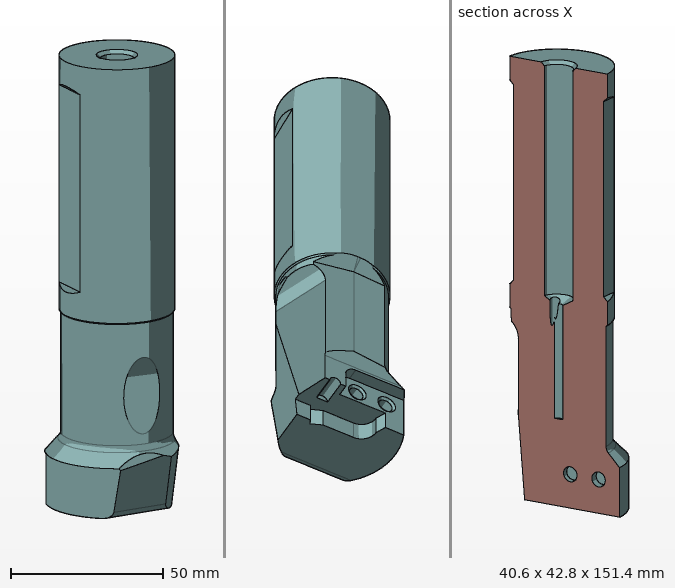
import cadquery as cq
import math

TOTAL_LENGTH = 151.4
SHANK_RADIUS = 19.05
NECK_RADIUS = 18.55
HEAD_RADIUS = 23.75
SHANK_BOTTOM_Z = 65.2
HEAD_TOP_Z = 17.1
HEAD_SHOULDER_BLEND = 3.0
TOOL_ANGLE = 4.3
OUTSIDE = 40.0

FLAT_DISTANCE = 17.57
FLAT_BOTTOM_Z = 74.7
FLAT_TOP_Z = 141.7

BORE_RADIUS = 5.6
BORE_MOUTH_RADIUS = 6.8
BORE_DEPTH = 80.0
BORE_TIP_ANGLE = 118.0
COOLANT_RADIUS = 2.0
COOLANT_BOTTOM_Z = 30.0
BRANCH_RADIUS = 1.6
BRANCH_OFFSET = (2.1, 1.9)
BRANCH_TILT = 6.0
BRANCH_LENGTH = 35.0

FACET_FRONT = (-13.3, -13.0)
FACET_RIDGE = (-14.8, -1.1)
FACET_BACK = (-13.8, 8.7)
FACET_TOP_Z = 62.6
FACET_RAMP_ANGLE = 34.0
FACET_RAMP_HEIGHT = 5.0

GULLET_ANGLE = 25.0
GULLET_TOP_Z = 62.4
GULLET_RUNOUT_RADIUS = 7.4

SIDE_RELIEF_X = 17.3
SIDE_RELIEF_RADIUS = 68.0
SIDE_RELIEF_Z = 40.0

ENVELOPE_X = 19.31
ENVELOPE_Y = 13.15
ENVELOPE_ARC_START = (12.9, ENVELOPE_Y)
ENVELOPE_ARC_MIDDLE = (16.3, 10.5)
ENVELOPE_ARC_END = (ENVELOPE_X, 6.4)
ENVELOPE_DRAFT = 4.8
ENVELOPE_TOP_Z = 63.0
HEAD_EDGE_RADIUS = 2.5

FACE_X = -13.0
FACE_BLEND_Z = 18.1
FACE_BLEND_RADIUS = 9.0
SEAT_X = -8.87
SEAT_BACK_Y = 2.0
SEAT_TOP_Z = 17.0
SEAT_CORNER_RADIUS = 3.7
SEAT_HOLE_YS = (-4.6, -15.55)
SEAT_HOLE_Z = 11.7
SEAT_HOLE_RADIUS = 2.5
SEAT_HOLE_MOUTH_RADIUS = 3.3
SEAT_HOLE_DEPTH = 12.0
SMALL_HOLE_Y = 5.9
SMALL_HOLE_RADIUS = 2.0
SMALL_HOLE_DEPTH = 9.0

RECESS_TOP_Z = 7.1
RECESS_FLOOR_X = 0.0
RECESS_FRONT_Y = -15.1
RECESS_ARC_Y = -8.0
RECESS_ARC_RADIUS = 5.5
GROOVE_START_Y = 3.4
GROOVE_DEEP_Y = 7.4
GROOVE_END_Y = 8.0
GROOVE_DEPTH = 1.6


def make_body():
    """Turned blank: head, 45 degree shoulder, neck and shank."""
    shoulder = HEAD_RADIUS - NECK_RADIUS
    neck_start_z = HEAD_TOP_Z + shoulder
    half_bend = math.radians(45 / 2)
    tangent = HEAD_SHOULDER_BLEND * math.tan(half_bend)
    diagonal = tangent * math.sqrt(0.5)
    shank_step = SHANK_RADIUS - NECK_RADIUS
    blend_middle = (
        NECK_RADIUS + HEAD_SHOULDER_BLEND * (1 - math.cos(half_bend)),
        neck_start_z + tangent - HEAD_SHOULDER_BLEND * math.sin(half_bend),
    )
    return (
        cq.Workplane("XZ")
        .moveTo(0, 0)
        .lineTo(HEAD_RADIUS, 0)
        .lineTo(HEAD_RADIUS, HEAD_TOP_Z)
        .lineTo(NECK_RADIUS + diagonal, neck_start_z - diagonal)
        .threePointArc(blend_middle, (NECK_RADIUS, neck_start_z + tangent))
        .lineTo(NECK_RADIUS, SHANK_BOTTOM_Z - shank_step)
        .lineTo(SHANK_RADIUS, SHANK_BOTTOM_Z)
        .lineTo(SHANK_RADIUS, TOTAL_LENGTH)
        .lineTo(0, TOTAL_LENGTH)
        .close()
        .revolve(360, (0, 0, 0), (0, 1, 0))
    )


def shank_flat():
    """Cutter for the -Y clamping flat, with 45 degree end ramps."""
    return (
        cq.Workplane("YZ")
        .polyline([
            (-FLAT_DISTANCE, FLAT_BOTTOM_Z),
            (-FLAT_DISTANCE, FLAT_TOP_Z),
            (-FLAT_DISTANCE - OUTSIDE, FLAT_TOP_Z + OUTSIDE),
            (-FLAT_DISTANCE - OUTSIDE, FLAT_BOTTOM_Z - OUTSIDE),
        ])
        .close()
        .extrude(OUTSIDE, both=True)
    )


def coolant_bore():
    """Bore with countersunk mouth, conical end, centre hole and slanted branch."""
    mouth = BORE_MOUTH_RADIUS - BORE_RADIUS
    bore_end_z = TOTAL_LENGTH - BORE_DEPTH
    cone_slope = math.tan(math.radians(BORE_TIP_ANGLE / 2))
    tip_z = bore_end_z - BORE_RADIUS / cone_slope
    bore = (
        cq.Workplane("XZ")
        .polyline([
            (0, tip_z),
            (BORE_RADIUS, bore_end_z),
            (BORE_RADIUS, TOTAL_LENGTH - mouth),
            (BORE_MOUTH_RADIUS, TOTAL_LENGTH),
            (0, TOTAL_LENGTH),
        ])
        .close()
        .revolve(360, (0, 0, 0), (0, 1, 0))
    )
    centre_hole = (
        cq.Workplane("XY", origin=(0, 0, COOLANT_BOTTOM_Z))
        .circle(COOLANT_RADIUS)
        .extrude(bore_end_z - COOLANT_BOTTOM_Z)
    )
    offset_x, offset_y = BRANCH_OFFSET
    offset = math.hypot(offset_x, offset_y)
    outward = math.sin(math.radians(BRANCH_TILT)) / offset
    downward = -math.cos(math.radians(BRANCH_TILT))
    direction = cq.Vector(offset_x * outward, offset_y * outward, downward)
    branch = cq.Solid.makeCylinder(
        BRANCH_RADIUS, BRANCH_LENGTH, cq.Vector(offset_x, offset_y, bore_end_z), direction
    )
    return bore.union(centre_hole).union(cq.Workplane(branch))


def extend(start, through, distance):
    """Point on the line from start past through, the given distance beyond it."""
    length = math.dist(start, through)
    return tuple(b + (b - a) / length * distance for a, b in zip(start, through))


def neck_facets():
    """Cutter for the two neck facets, above the cutting face, with a sloped runout at the top."""
    front = extend(FACET_RIDGE, FACET_FRONT, OUTSIDE)
    back = extend(FACET_RIDGE, FACET_BACK, OUTSIDE)
    outline = [front, FACET_RIDGE, back, (-2 * OUTSIDE, back[1]), (-2 * OUTSIDE, front[1])]
    facets = (
        cq.Workplane("XY", origin=(0, 0, FACE_BLEND_Z))
        .polyline(outline)
        .close()
        .extrude(FACET_TOP_Z - FACE_BLEND_Z)
    )
    ramp = (
        cq.Workplane("XY", origin=(0, 0, FACET_TOP_Z))
        .polyline(outline)
        .close()
        .extrude(FACET_RAMP_HEIGHT, taper=90 - FACET_RAMP_ANGLE)
    )
    return facets.union(ramp)


def chip_gullet():
    """Cutter for the slanted gullet wall with a rounded runout at the top."""
    return (
        cq.Workplane("XY")
        .box(2 * OUTSIDE, OUTSIDE, GULLET_TOP_Z, centered=(True, False, False))
        .faces("<Y").edges(">Z").fillet(GULLET_RUNOUT_RADIUS)
        .rotate((0, 0, 0), (0, 0, 1), GULLET_ANGLE)
        .translate((*FACET_BACK, 0))
    )


def side_relief():
    """Cutter for the shallow hollow on the +X side of the neck."""
    return (
        cq.Workplane("XZ")
        .center(SIDE_RELIEF_X + SIDE_RELIEF_RADIUS, SIDE_RELIEF_Z)
        .circle(SIDE_RELIEF_RADIUS)
        .extrude(OUTSIDE, both=True)
    )


def turned(shape):
    """Turn a shape from the tool frame into the part frame."""
    return shape.rotate((0, 0, 0), (0, 0, 1), TOOL_ANGLE)


def envelope_outline(plane, growth):
    """Envelope outline on a workplane, its +X and +Y sides moved outward by growth."""
    arc_start, arc_middle, arc_end = [
        (x + growth, y + growth)
        for x, y in (ENVELOPE_ARC_START, ENVELOPE_ARC_MIDDLE, ENVELOPE_ARC_END)
    ]
    return (
        plane.moveTo(-OUTSIDE, -OUTSIDE)
        .lineTo(-OUTSIDE, arc_start[1])
        .lineTo(*arc_start)
        .threePointArc(arc_middle, arc_end)
        .lineTo(arc_end[0], -OUTSIDE)
        .close()
    )


def head_envelope():
    """Drafted block that bounds the head and neck on the +X and +Y sides."""
    growth = ENVELOPE_TOP_Z * math.tan(math.radians(ENVELOPE_DRAFT))
    bottom = envelope_outline(cq.Workplane("XY"), 0)
    lower = (
        envelope_outline(bottom.workplane(offset=ENVELOPE_TOP_Z), growth)
        .loft(ruled=True)
        .faces("<Z").edges(">X").fillet(HEAD_EDGE_RADIUS)
    )
    upper = (
        cq.Workplane("XY", origin=(0, 0, ENVELOPE_TOP_Z))
        .rect(2 * OUTSIDE, 2 * OUTSIDE)
        .extrude(TOTAL_LENGTH - ENVELOPE_TOP_Z)
    )
    return turned(lower.union(upper))


def cutting_face():
    """Cutter for the lower face, blended outward into the neck facets."""
    face = (
        cq.Workplane("XY")
        .box(OUTSIDE, 2 * OUTSIDE, FACE_BLEND_Z, centered=(False, True, False))
        .translate((FACE_X - OUTSIDE, 0, 0))
    )
    blend = (
        cq.Workplane("XZ")
        .center(FACE_X - FACE_BLEND_RADIUS, FACE_BLEND_Z)
        .circle(FACE_BLEND_RADIUS)
        .extrude(OUTSIDE, both=True)
    )
    return turned(face.union(blend))


def cartridge_seat():
    """Cutter for the cartridge seat, open toward -X, -Y and -Z."""
    return turned(
        cq.Workplane("XY")
        .box(OUTSIDE, OUTSIDE, SEAT_TOP_Z, centered=False)
        .edges(">Y and >Z").fillet(SEAT_CORNER_RADIUS)
        .translate((SEAT_X - OUTSIDE, SEAT_BACK_Y - OUTSIDE, 0))
    )


def seat_hole(y):
    """Cutter for one countersunk screw hole in the seat."""
    mouth = SEAT_HOLE_MOUTH_RADIUS - SEAT_HOLE_RADIUS
    return turned(
        cq.Workplane("XY", origin=(SEAT_X, y, SEAT_HOLE_Z))
        .polyline([
            (0, 0),
            (0, SEAT_HOLE_MOUTH_RADIUS),
            (mouth, SEAT_HOLE_RADIUS),
            (SEAT_HOLE_DEPTH, SEAT_HOLE_RADIUS),
            (SEAT_HOLE_DEPTH, 0),
        ])
        .close()
        .revolve(360, (0, 0, 0), (1, 0, 0))
    )


def small_hole():
    """Cutter for the small hole on the lower border of the cutting face."""
    return turned(
        cq.Workplane("YZ", origin=(FACE_X, SMALL_HOLE_Y, RECESS_TOP_Z))
        .circle(SMALL_HOLE_RADIUS)
        .extrude(SMALL_HOLE_DEPTH)
    )


def insert_recess():
    """Cutter for the insert recess with a rounded front corner and a back groove."""
    arc_end = (RECESS_FLOOR_X - RECESS_ARC_RADIUS, RECESS_ARC_Y - RECESS_ARC_RADIUS)
    arc_diagonal = RECESS_ARC_RADIUS * math.sqrt(0.5)
    arc_middle = (arc_end[0] + arc_diagonal, RECESS_ARC_Y - arc_diagonal)
    return turned(
        cq.Workplane("XY")
        .moveTo(-OUTSIDE, RECESS_FRONT_Y)
        .lineTo(SEAT_X, RECESS_FRONT_Y)
        .lineTo(*arc_end)
        .threePointArc(arc_middle, (RECESS_FLOOR_X, RECESS_ARC_Y))
        .lineTo(RECESS_FLOOR_X, GROOVE_START_Y)
        .lineTo(RECESS_FLOOR_X + GROOVE_DEPTH, GROOVE_DEEP_Y)
        .lineTo(RECESS_FLOOR_X, GROOVE_END_Y)
        .lineTo(RECESS_FLOOR_X, OUTSIDE)
        .lineTo(-OUTSIDE, OUTSIDE)
        .close()
        .extrude(RECESS_TOP_Z)
    )


result = make_body().intersect(head_envelope())

flat = shank_flat()
result = result.cut(flat).cut(flat.mirror("XZ"))
result = result.cut(coolant_bore())

result = result.cut(neck_facets())
result = result.cut(chip_gullet())
result = result.cut(side_relief())

result = result.cut(cutting_face())
result = result.cut(cartridge_seat())
for hole_y in SEAT_HOLE_YS:
    result = result.cut(seat_hole(hole_y))
result = result.cut(small_hole())
result = result.cut(insert_recess())